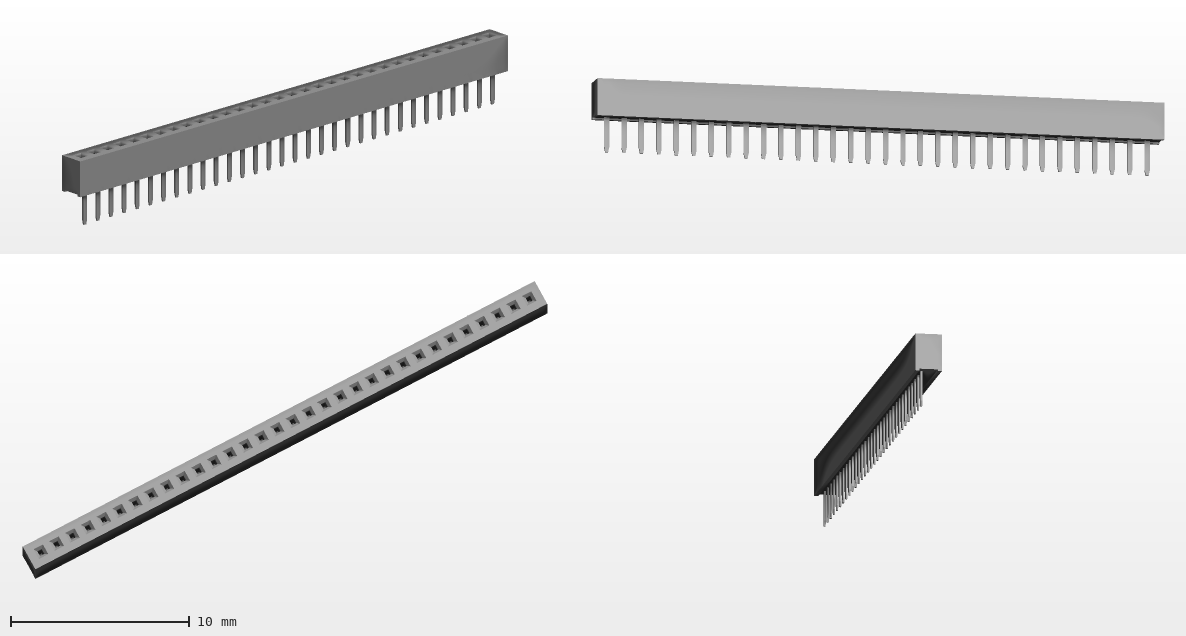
import cadquery as cq

length = 32.5
width = 1.5
total_height = 4.0
housing_height = 2.1
rail_width = 0.23
channel_depth = 0.1

contact_count = 32
pitch = length / (contact_count + 0.5)

hole_x = 0.31
hole_y = 0.275
lead_in_inset = 0.15
lead_in_depth = 0.15
mouth_x = hole_x + 2 * lead_in_inset
mouth_y = hole_y + 2 * lead_in_inset
hole_depth = 0.98

pin_thickness = 0.1
pin_width = 0.3
pin_offset_x = 0.3
pin_embed = 0.15
tip_width = 0.15
tip_height = 0.3

rail_bottom = total_height - housing_height
channel_top = rail_bottom + channel_depth
lead_in_bottom = total_height - lead_in_depth


def make_housing():
    """Rectangular bar with a shallow channel between two rails underneath."""
    bar = cq.Workplane("XY").workplane(offset=rail_bottom).rect(width, length).extrude(housing_height)
    channel = (
        cq.Workplane("XY")
        .workplane(offset=rail_bottom)
        .rect(width - 2 * rail_width, length)
        .extrude(channel_depth)
    )
    return bar.cut(channel)


def make_socket():
    """Cutting body of one socket, centred on the origin in X and Y."""
    lead_in = (
        cq.Workplane("XY")
        .workplane(offset=lead_in_bottom)
        .rect(hole_x, hole_y)
        .workplane(offset=lead_in_depth)
        .rect(mouth_x, mouth_y)
        .loft(ruled=True)
    )
    hole = cq.Workplane("XY").workplane(offset=lead_in_bottom).rect(hole_x, hole_y).extrude(-hole_depth)
    return lead_in.union(hole)


def make_pin():
    """Flat pin with a tapered tip, its root sunk into the housing."""
    half_width = pin_width / 2
    half_tip = tip_width / 2
    pin_top = channel_top + pin_embed
    outline = [
        (-half_tip, 0),
        (half_tip, 0),
        (half_width, tip_height),
        (half_width, pin_top),
        (-half_width, pin_top),
        (-half_width, tip_height),
    ]
    blade = cq.Workplane("YZ").polyline(outline).close().extrude(pin_thickness / 2, both=True)
    return blade.translate((pin_offset_x, 0, 0))


def repeat_along_row(shape):
    """One copy of the shape at every contact position."""
    first_y = -pitch * (contact_count - 1) / 2
    copies = [shape.val().translate(cq.Vector(0, first_y + i * pitch, 0)) for i in range(contact_count)]
    return cq.Workplane("XY").newObject([cq.Compound.makeCompound(copies)])


housing = make_housing().cut(repeat_along_row(make_socket()))
result = housing.union(repeat_along_row(make_pin()))